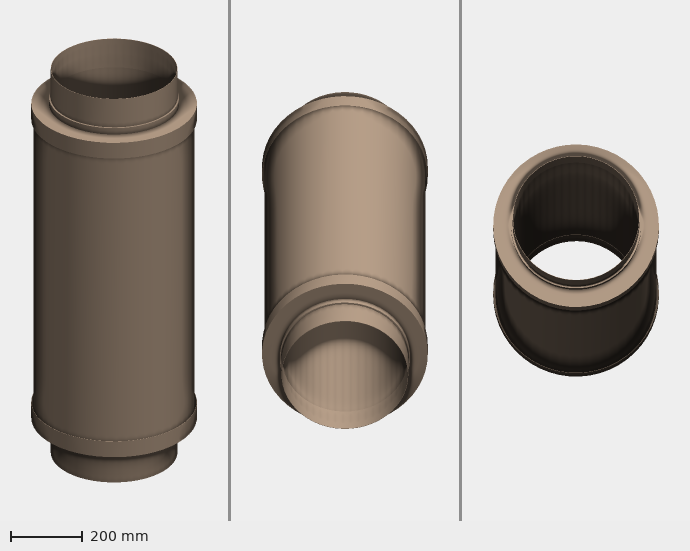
import cadquery as cq

total_length = 1220.0
body_length = 1000.0
cap_depth = 50.0
collar_height = 20.0

casing_diameter = 450.0
cap_diameter = 463.5
spigot_diameter = 354.5

sheet = 1.0
liner_wall = 5.0

half_total = total_length / 2
half_body = body_length / 2
half_casing = half_body - sheet
half_liner = half_body + collar_height
liner_bore = spigot_diameter
liner_diameter = liner_bore + 2 * liner_wall
spigot_bore = spigot_diameter - 2 * sheet
spigot_seat = sheet


def ring(outer_diameter, inner_diameter, bottom, top):
    """Ring about the Z axis between two heights."""
    return (
        cq.Workplane("XY")
        .workplane(offset=bottom)
        .circle(outer_diameter / 2)
        .circle(inner_diameter / 2)
        .extrude(top - bottom)
    )


def make_silencer_body():
    """Thick-walled casing whose liner runs on as a collar and a thin spigot at each end."""
    casing = ring(casing_diameter, liner_bore, -half_casing, half_casing)
    liner = ring(liner_diameter, liner_bore, -half_liner, half_liner)
    spigot = ring(spigot_diameter, spigot_bore, half_liner - spigot_seat, half_total)
    return casing.union(liner).union(spigot).union(spigot.mirror("XY"))


def make_end_cap():
    """Upper sheet-metal cap: an end plate around the collar and a skirt clear of the casing."""
    plate = ring(cap_diameter, liner_diameter, half_casing, half_body)
    skirt = ring(cap_diameter, cap_diameter - 2 * sheet, half_body - cap_depth, half_body)
    return plate.union(skirt)


silencer_body = make_silencer_body()
upper_cap = make_end_cap()
end_caps = [upper_cap, upper_cap.mirror("XY")]

result = cq.Compound.makeCompound([silencer_body.val(), *[cap.val() for cap in end_caps]])